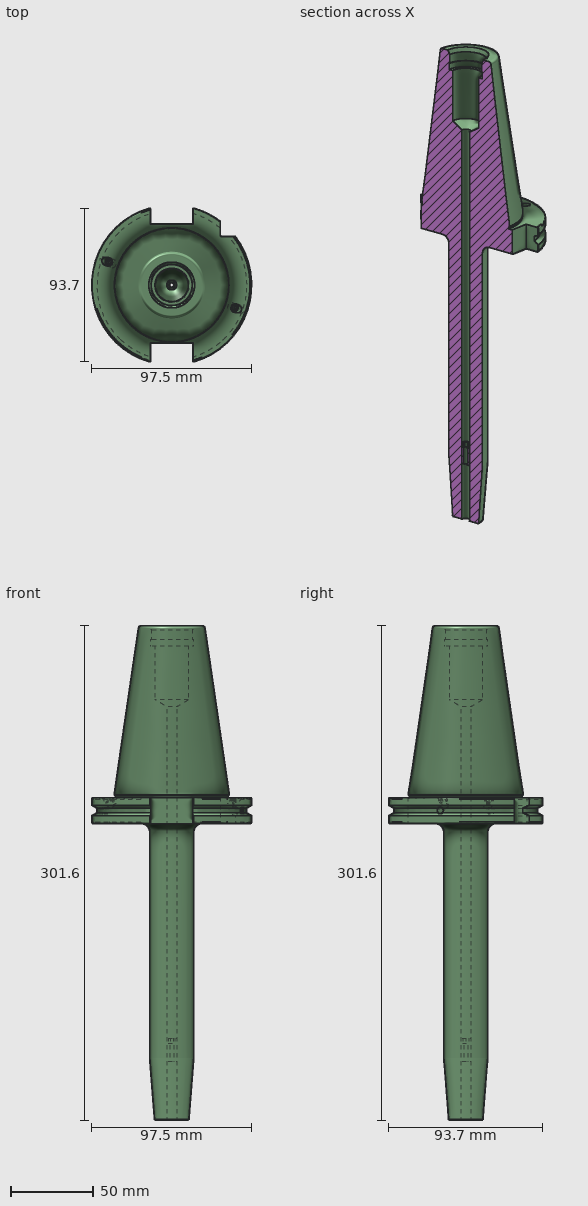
import cadquery as cq
import math


gauge_radius = 69.85 / 2
taper_length = 101.6
taper_rate = 7 / 24
taper_end_radius = gauge_radius - taper_length * taper_rate / 2
taper_end_fillet = 2.1
gauge_land = 1.5
relief_radius = gauge_radius - 0.4
relief_top = -2.2

flange_radius = 97.45 / 2
flange_top = -3.2
flange_bottom = -19.1
flange_edge_radius = 1.0
groove_z = -11.1
groove_floor_radius = 45.6
groove_mouth_half = 3.2
groove_flank_angle = math.radians(30)
groove_floor_half = groove_mouth_half - (flange_radius - groove_floor_radius) * math.tan(groove_flank_angle)

slot_width = 25.7
slot_mouth_chamfer = 0.54
front_slot_floor = 35.4
back_slot_floor = 37.2
notch_edge = 29.6
notch_corner_radius = 1.0

shank_radius = 27 / 2
shank_fillet = 5.0
nose_z = -200.0
nose_radius = 21 / 2
nose_chamfer = 0.8
nose_angle = math.radians(4.5)
nose_cone_top = nose_z + (shank_radius - nose_radius) / math.tan(nose_angle)

mouth_radius = 14.0
pilot_radius = 12.5
mouth_depth = (mouth_radius - pilot_radius) / math.tan(math.radians(30))
pilot_depth = 8.4
undercut_radius = 13.0
undercut_depth = 12.4
thread_radius = 10.2
thread_depth = 45.0
drill_point_angle = math.radians(59)
tool_bore_radius = 3.0
drill_point_depth = (thread_radius - tool_bore_radius) / math.tan(drill_point_angle)

stop_screw_z = nose_z + 36.0
stop_screw_length = 14.0
stop_screw_hole_radius = 1.3
stop_socket_across_corners = 4.0
stop_socket_depth = 3.0

coolant_angles = (160, 340)
set_screw_circle = 42.0
set_screw_tilt = 35
set_screw_radius = 2.6
set_screw_length = 4.0
set_screw_recess = 2.2
socket_across_corners = 3.5
socket_depth = 2.0
plug_radius = 2.0
plug_length = 3.0
plug_recess = 0.5
plug_outer = groove_floor_radius - plug_recess
plug_inner = plug_outer - plug_length


def holder_blank():
    """Taper, flange and shank turned about Z, still without slots and bores."""
    face_radius = flange_radius - flange_edge_radius
    edge_middle = flange_edge_radius * (1 - math.sqrt(0.5))
    fillet_middle = shank_fillet * (1 - math.sqrt(0.5))
    profile = (
        cq.Workplane("XZ")
        .moveTo(0, nose_z)
        .lineTo(nose_radius - nose_chamfer, nose_z)
        .lineTo(nose_radius + nose_chamfer * math.tan(nose_angle), nose_z + nose_chamfer)
        .lineTo(shank_radius, nose_cone_top)
        .lineTo(shank_radius, flange_bottom - shank_fillet)
        .threePointArc(
            (shank_radius + fillet_middle, flange_bottom - fillet_middle),
            (shank_radius + shank_fillet, flange_bottom),
        )
        .lineTo(face_radius, flange_bottom)
        .threePointArc(
            (flange_radius - edge_middle, flange_bottom + edge_middle),
            (flange_radius, flange_bottom + flange_edge_radius),
        )
        .lineTo(flange_radius, groove_z - groove_mouth_half)
        .lineTo(groove_floor_radius, groove_z - groove_floor_half)
        .lineTo(groove_floor_radius, groove_z + groove_floor_half)
        .lineTo(flange_radius, groove_z + groove_mouth_half)
        .lineTo(flange_radius, flange_top - flange_edge_radius)
        .threePointArc(
            (flange_radius - edge_middle, flange_top - edge_middle),
            (face_radius, flange_top),
        )
        .lineTo(relief_radius, flange_top)
        .lineTo(relief_radius, relief_top)
        .lineTo(gauge_radius, -gauge_land)
        .lineTo(gauge_radius, 0)
        .lineTo(taper_end_radius, taper_length)
        .lineTo(0, taper_length)
        .close()
    )
    blank = profile.revolve(360, (0, 0, 0), (0, 1, 0))
    return blank.faces(">Z").edges().fillet(taper_end_fillet)


def pull_stud_bore():
    """Countersunk pilot, undercut and thread core hole with a drill point that runs into the tool bore."""
    thread_floor = taper_length - thread_depth
    profile = (
        cq.Workplane("XZ")
        .moveTo(0, taper_length)
        .lineTo(mouth_radius, taper_length)
        .lineTo(pilot_radius, taper_length - mouth_depth)
        .lineTo(pilot_radius, taper_length - pilot_depth)
        .lineTo(undercut_radius, taper_length - pilot_depth)
        .lineTo(undercut_radius, taper_length - undercut_depth)
        .lineTo(thread_radius, taper_length - undercut_depth)
        .lineTo(thread_radius, thread_floor)
        .lineTo(tool_bore_radius, thread_floor - drill_point_depth)
        .lineTo(tool_bore_radius, nose_z)
        .lineTo(0, nose_z)
        .close()
    )
    return profile.revolve(360, (0, 0, 0), (0, 1, 0))


def flange_cut(outline):
    """Cut through the flange thickness with the given XY outline."""
    sketch = cq.Workplane("XY", origin=(0, 0, flange_bottom)).polyline(outline).close()
    return sketch.extrude(flange_top - flange_bottom)


def drive_slot(floor, side):
    """Slot open to the rim at +Y (side = 1) or -Y (side = -1), with its rim corners chamfered."""
    half = slot_width / 2
    mouth_half = half + slot_mouth_chamfer
    mouth = math.sqrt(flange_radius**2 - mouth_half**2)
    half_outline = [
        (half, floor),
        (half, mouth - slot_mouth_chamfer),
        (mouth_half, mouth),
        (mouth_half, flange_radius),
    ]
    mirrored = [(-x, y) for x, y in reversed(half_outline)]
    return flange_cut([(x, side * y) for x, y in half_outline + mirrored])


def orientation_notch():
    """Square corner notch with a rounded inner corner."""
    outline = [
        (notch_edge, notch_edge),
        (flange_radius, notch_edge),
        (flange_radius, flange_radius),
        (notch_edge, flange_radius),
    ]
    return flange_cut(outline).edges("|Z and <X and <Y").fillet(notch_corner_radius)


def coolant_hole_plane(angle, depth):
    """Plane across a coolant hole, `depth` along its axis below the flange face, normal pointing out."""
    turn = math.radians(angle)
    tilt = math.radians(set_screw_tilt)
    outward = cq.Vector(math.cos(turn), math.sin(turn), 0)
    upward = cq.Vector(0, 0, 1)
    axis = outward * math.sin(tilt) + upward * math.cos(tilt)
    mouth = outward * set_screw_circle + upward * flange_top
    return cq.Plane(mouth - axis * depth, outward.cross(upward), axis)


def coolant_hole(angle):
    """Hole that leans inward from the flange face, with room for its recessed set screw."""
    floor = coolant_hole_plane(angle, set_screw_recess + set_screw_length)
    overshoot = set_screw_radius * math.tan(math.radians(set_screw_tilt))
    hole_length = set_screw_recess + set_screw_length + overshoot
    return cq.Workplane(floor).circle(set_screw_radius).extrude(hole_length)


def groove_cylinder(angle, inner_radius, outer_radius):
    """Radial cylinder of plug size at the height of the V-groove."""
    cylinder = (
        cq.Workplane("YZ", origin=(inner_radius, 0, groove_z))
        .circle(plug_radius)
        .extrude(outer_radius - inner_radius)
    )
    return cylinder.rotate((0, 0, 0), (0, 0, 1), angle)


def make_holder():
    """Holder body with its slots, bores and pockets for the screws and plugs."""
    holder = holder_blank().cut(pull_stud_bore())
    holder = holder.cut(drive_slot(front_slot_floor, -1))
    holder = holder.cut(drive_slot(back_slot_floor, 1))
    holder = holder.cut(orientation_notch())
    for angle in coolant_angles:
        holder = holder.cut(coolant_hole(angle))
        holder = holder.cut(groove_cylinder(angle, plug_inner, flange_radius))
    return holder


def make_set_screw(angle):
    """Set screw with a hexagon socket in its outer end."""
    outer_end = coolant_hole_plane(angle, set_screw_recess)
    body = cq.Workplane(outer_end).circle(set_screw_radius).extrude(-set_screw_length)
    socket = cq.Workplane(outer_end).polygon(6, socket_across_corners).extrude(-socket_depth)
    return body.cut(socket)


def make_plug(angle):
    """Plain plug just below the V-groove floor."""
    return groove_cylinder(angle, plug_inner, plug_outer)


def make_stop_screw():
    """Hollow stop screw with a hexagon socket in its upper end."""
    body = (
        cq.Workplane("XY", origin=(0, 0, stop_screw_z))
        .circle(tool_bore_radius)
        .circle(stop_screw_hole_radius)
        .extrude(stop_screw_length)
    )
    socket = (
        cq.Workplane("XY", origin=(0, 0, stop_screw_z + stop_screw_length))
        .polygon(6, stop_socket_across_corners)
        .extrude(-stop_socket_depth)
    )
    return body.cut(socket)


holder = make_holder()
set_screws = [make_set_screw(angle) for angle in coolant_angles]
plugs = [make_plug(angle) for angle in coolant_angles]
stop_screw = make_stop_screw()

bodies = [holder, *set_screws, *plugs, stop_screw]
result = cq.Compound.makeCompound([body.val() for body in bodies])